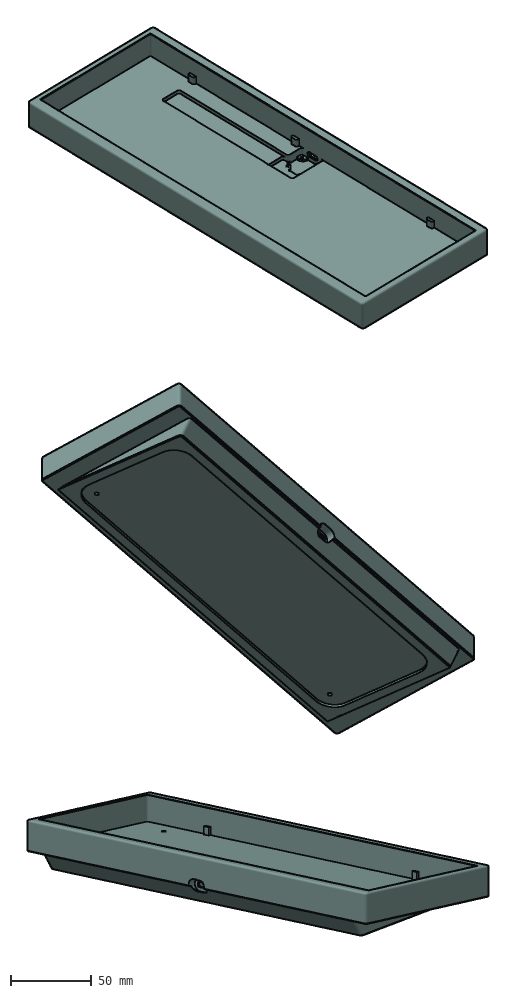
import cadquery as cq
import math

LENGTH = 295.7
WIDTH = 110.3
BODY_HEIGHT = 20.0
FLOOR_TOP = 3.0
END_WALL = 4.7
SIDE_WALL = 7.0
EDGE_RADIUS = 2.0
RIM_RADIUS = 1.5
BASE_CHAMFER = 0.5
CAVITY_RADIUS = 1.2
CAVITY_CHAMFER = 0.3

CAVITY_LENGTH = LENGTH - 2 * END_WALL
CAVITY_WIDTH = WIDTH - 2 * SIDE_WALL
CAVITY_BACK = CAVITY_WIDTH / 2

FOOT_LENGTH = 270.3
FOOT_DEPTH = 11.0
FOOT_BACK = 53.2
FOOT_FRONT = -52.3
FOOT_HEEL = 46.0
FOOT_CHAMFER = 0.5
FOOT_OVERLAP = 1.5

SOLE_MARGIN = 7.0
SOLE_RECESS_DEPTH = 2.0
SOLE_RECESS_RADIUS = 13.0

FLOOR_HOLE_DIAMETER = 2.55
FLOOR_HOLE_X = 116.5
FLOOR_HOLE_Y = -35.5

CATCH_HEIGHT = 5.3
BACK_CATCH_X = (-105.5, -14.8, 104.5)
BACK_CATCH_WIDTH = 5.3
BACK_CATCH_REACH = 2.0
BACK_CATCH_RADIUS = 1.2
FRONT_CATCH_X = (-90.8, 90.2)
FRONT_CATCH_WIDTH = 4.0
FRONT_CATCH_REACH = 1.8

CHANNEL_LEFT = -106.0
CHANNEL_FRONT = 21.0
CHANNEL_BACK = 36.0
CHANNEL_DEPTH = 2.7
POCKET_LEFT = -9.8
POCKET_RIGHT = 9.2
POCKET_STEP = -14.2
POCKET_DEPTH = 5.3
POCKET_RADIUS = 1.5
POCKET_CENTER = (POCKET_LEFT + POCKET_RIGHT) / 2

WELL_FRONT = 30.8
WELL_DEPTH = 1.5
WELL_CENTER_Y = (WELL_FRONT + CAVITY_BACK) / 2
LEDGE_DIAMETER = 8.5
LEDGE_SPACING_X = 16.0
LEDGE_SPACING_Y = 16.5
SCREW_DIAMETER = 1.6
SCREW_DEPTH = 2.5
SCREW_SPACING_X = 14.0
SCREW_SPACING_Y = 12.5

SLOT_WIDTH = 9.0
SLOT_HEIGHT = 3.5
SLOT_Z = 1.0
PLUG_WIDTH = 13.5
PLUG_HEIGHT = 8.5
PLUG_WALL = 1.5


def block(left, right, front, back, bottom, top):
    """Box given by its six bounding planes."""
    return (
        cq.Workplane("XY", origin=(0, 0, bottom))
        .moveTo(left, front)
        .lineTo(right, front)
        .lineTo(right, back)
        .lineTo(left, back)
        .close()
        .extrude(top - bottom)
    )


def make_body():
    return (
        cq.Workplane("XY")
        .box(LENGTH, WIDTH, BODY_HEIGHT, centered=(True, True, False))
        .edges("|Z")
        .fillet(EDGE_RADIUS)
        .edges(">Z")
        .fillet(RIM_RADIUS)
        .faces("<Z")
        .chamfer(BASE_CHAMFER)
    )


def make_foot():
    """Wedge, rounded at its two heel corners and chamfered around the sole."""
    wedge = (
        cq.Workplane("YZ")
        .moveTo(FOOT_FRONT, 0)
        .lineTo(FOOT_HEEL, -FOOT_DEPTH)
        .lineTo(FOOT_BACK, 0)
        .lineTo(FOOT_BACK, FOOT_OVERLAP)
        .lineTo(FOOT_FRONT, FOOT_OVERLAP)
        .close()
        .extrude(FOOT_LENGTH / 2, both=True)
    )
    heel_rise = cq.Vector(0, FOOT_BACK - FOOT_HEEL, FOOT_DEPTH)
    sole_normal = cq.Vector(0, -FOOT_DEPTH, FOOT_FRONT - FOOT_HEEL)
    heel_corners = cq.selectors.ParallelDirSelector(heel_rise)
    sole_face = cq.selectors.DirectionMinMaxSelector(sole_normal)
    rounded = wedge.faces("<X or >X").edges(heel_corners).fillet(EDGE_RADIUS)
    return rounded.faces(sole_face).chamfer(FOOT_CHAMFER)


def make_sole_recess():
    """Rounded pocket sunk square to the sloping sole."""
    sole_run = FOOT_HEEL - FOOT_FRONT
    sole_length = math.hypot(sole_run, FOOT_DEPTH)
    sole = cq.Plane(
        origin=(0, (FOOT_FRONT + FOOT_HEEL) / 2, -FOOT_DEPTH / 2),
        xDir=(1, 0, 0),
        normal=(0, FOOT_DEPTH, sole_run),
    )
    outline = (
        cq.Sketch()
        .rect(FOOT_LENGTH - 2 * SOLE_MARGIN, sole_length - 2 * SOLE_MARGIN)
        .vertices()
        .fillet(SOLE_RECESS_RADIUS)
    )
    return cq.Workplane(sole).placeSketch(outline).extrude(SOLE_RECESS_DEPTH)


def make_cavity():
    """Open inside of the tray, flared at the rim."""
    cavity = (
        cq.Workplane("XY", origin=(0, 0, FLOOR_TOP))
        .rect(CAVITY_LENGTH, CAVITY_WIDTH)
        .extrude(BODY_HEIGHT - FLOOR_TOP)
        .edges("|Z")
        .fillet(CAVITY_RADIUS)
    )
    flare = (
        cq.Workplane("XY", origin=(0, 0, BODY_HEIGHT))
        .rect(CAVITY_LENGTH + 2 * CAVITY_CHAMFER, CAVITY_WIDTH + 2 * CAVITY_CHAMFER)
        .extrude(-CAVITY_CHAMFER, taper=45)
    )
    return cavity.union(flare)


def make_catches():
    """Small blocks standing on the floor against the long walls."""
    top = FLOOR_TOP + CATCH_HEIGHT
    catches = cq.Workplane("XY")
    for x in BACK_CATCH_X:
        left = x - BACK_CATCH_WIDTH / 2
        right = x + BACK_CATCH_WIDTH / 2
        front = CAVITY_BACK - BACK_CATCH_REACH
        catch = block(left, right, front, CAVITY_BACK, FLOOR_TOP, top)
        catches = catches.add(catch.edges("|Z and <Y").fillet(BACK_CATCH_RADIUS))
    for x in FRONT_CATCH_X:
        left = x - FRONT_CATCH_WIDTH / 2
        right = x + FRONT_CATCH_WIDTH / 2
        back = FRONT_CATCH_REACH - CAVITY_BACK
        catches = catches.add(block(left, right, -CAVITY_BACK, back, FLOOR_TOP, top))
    return catches.combine()


def make_floor_holes():
    holes = cq.Workplane("XY", origin=(0, 0, FLOOR_TOP)).pushPoints(
        [(-FLOOR_HOLE_X, FLOOR_HOLE_Y), (FLOOR_HOLE_X, FLOOR_HOLE_Y)]
    )
    return holes.circle(FLOOR_HOLE_DIAMETER / 2).extrude(-FLOOR_TOP - FOOT_DEPTH)


def make_channel():
    """Shallow channel, rounded at its far end and open to the pocket."""
    bottom = FLOOR_TOP - CHANNEL_DEPTH
    channel = block(CHANNEL_LEFT, POCKET_LEFT, CHANNEL_FRONT, CHANNEL_BACK, bottom, FLOOR_TOP)
    return channel.edges("|Z and <X").fillet(POCKET_RADIUS)


def make_pocket():
    """L-shaped pocket reaching the back wall, with a lower well between four corner ledges."""
    pocket_floor = FLOOR_TOP - POCKET_DEPTH
    pocket = (
        cq.Workplane("XY", origin=(0, 0, FLOOR_TOP))
        .moveTo(POCKET_STEP, CHANNEL_FRONT)
        .lineTo(POCKET_RIGHT, CHANNEL_FRONT)
        .lineTo(POCKET_RIGHT, CAVITY_BACK)
        .lineTo(POCKET_LEFT, CAVITY_BACK)
        .lineTo(POCKET_LEFT, CHANNEL_BACK)
        .lineTo(POCKET_STEP, CHANNEL_BACK)
        .close()
        .extrude(-POCKET_DEPTH)
        .edges("|Z")
        .fillet(POCKET_RADIUS)
    )
    well_floor = pocket_floor - WELL_DEPTH
    well = block(POCKET_LEFT, POCKET_RIGHT, WELL_FRONT, CAVITY_BACK, well_floor, pocket_floor)
    center = cq.Workplane("XY", origin=(POCKET_CENTER, WELL_CENTER_Y, pocket_floor))
    ledges = (
        center.rarray(LEDGE_SPACING_X, LEDGE_SPACING_Y, 2, 2)
        .circle(LEDGE_DIAMETER / 2)
        .extrude(-WELL_DEPTH)
    )
    screw_holes = (
        center.rarray(SCREW_SPACING_X, SCREW_SPACING_Y, 2, 2)
        .circle(SCREW_DIAMETER / 2)
        .extrude(-SCREW_DEPTH)
    )
    return pocket.union(well.cut(ledges)).union(screw_holes)


def stadium(width, height, front):
    """Lying slot shape running from the plane Y = front out past the back of the tray."""
    return (
        cq.Workplane("XZ", origin=(POCKET_CENTER, front, SLOT_Z))
        .slot2D(width, height)
        .extrude(front - WIDTH / 2)
    )


def make_connector_opening():
    slot = stadium(SLOT_WIDTH, SLOT_HEIGHT, CAVITY_BACK)
    plug_recess = stadium(PLUG_WIDTH, PLUG_HEIGHT, CAVITY_BACK + PLUG_WALL)
    return slot.union(plug_recess)


result = (
    make_body()
    .union(make_foot())
    .cut(make_sole_recess())
    .cut(make_cavity())
    .union(make_catches())
    .cut(make_floor_holes())
    .cut(make_channel())
    .cut(make_pocket())
    .cut(make_connector_opening())
)